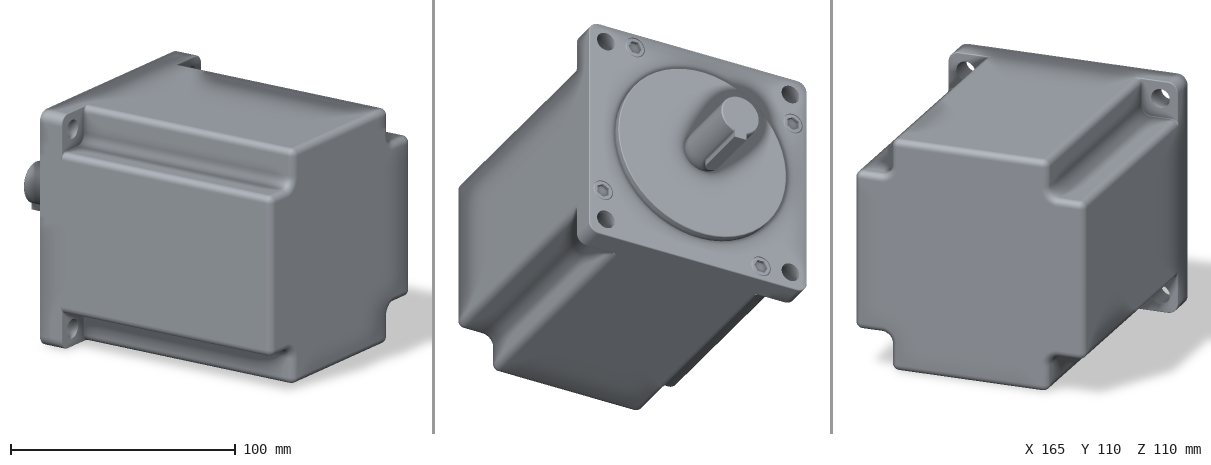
import cadquery as cq

total_length = 165.0
frame_width = 110.0
shaft_reach = 40.0
body_length = total_length - shaft_reach

flange_thickness = 12.0
flange_corner_radius = 5.0
flange_edge_radius = 0.5

notch_size = 17.5
notch_inner_radius = 5.0
body_edge_radius = 3.1
joint_radius = 0.5

pilot_diameter = 85.0
pilot_height = 4.1
pilot_edge_radius = 0.5
shaft_diameter = 19.1
shaft_chamfer = 0.5

key_width = 6.0
key_length = 30.0
key_top = 12.2

hole_pitch = 93.4
hole_diameter = 8.9
screw_offset_along_side = 31.8
screw_offset_to_side = 48.0
screw_head_diameter = 9.9
screw_gap = 0.5
socket_across_flats = 5.8
socket_turn = 30
socket_depth = 1.6

def disc(diameter, start_x, length):
    """Cylinder along +X centred on the motor axis."""
    return cq.Workplane("YZ", origin=(start_x, 0, 0)).circle(diameter / 2).extrude(length)


def make_flange():
    """Square plate with rounded corners and rounded face edges."""
    plate = cq.Workplane("YZ").rect(frame_width, frame_width).extrude(flange_thickness)
    plate = plate.edges("|X").fillet(flange_corner_radius)
    return plate.faces("<X or >X").edges().fillet(flange_edge_radius)


def is_arm_corner(edge):
    """True for an outer corner of the cross, which lies on a side of the square frame."""
    center = edge.Center()
    return max(abs(center.y), abs(center.z)) > frame_width / 2 - body_edge_radius


def is_notch_root(edge):
    """True for the inner corner of a notch."""
    return not is_arm_corner(edge)


def is_on_profile(edge):
    """True for an edge on the motor profile rather than on the surrounding block."""
    center = edge.Center()
    return max(abs(center.y), abs(center.z)) < frame_width


def make_profile(start_x, end_x):
    """Cross-shaped prism with rounded corners and notch roots."""
    arm_width = frame_width - 2 * notch_size
    plane = cq.Workplane("YZ", origin=(start_x, 0, 0))
    upright = plane.rect(arm_width, frame_width).extrude(end_x - start_x)
    cross = plane.rect(frame_width, arm_width).extrude(end_x - start_x).union(upright)
    cross = cross.edges("|X").filter(is_notch_root).fillet(notch_inner_radius)
    return cross.edges("|X").filter(is_arm_corner).fillet(body_edge_radius)


def make_body():
    """Notched body reaching into the flange as far as its front rounding."""
    return make_profile(flange_edge_radius, body_length).faces(">X").edges().fillet(body_edge_radius)


def make_notch_joint():
    """Small concave rounding where the notch walls meet the flange."""
    end_x = flange_thickness + 2 * joint_radius
    plane = cq.Workplane("YZ", origin=(flange_thickness, 0, 0))
    surround_width = 3 * frame_width
    surround = plane.rect(surround_width, surround_width).extrude(end_x - flange_thickness)
    surround = surround.cut(make_profile(flange_thickness, end_x))
    surround = surround.faces("<X").edges().filter(is_on_profile).fillet(joint_radius)
    block = plane.rect(frame_width, frame_width).extrude(end_x - flange_thickness)
    return block.cut(surround)


def make_housing():
    """Flange and body in one piece."""
    return make_flange().union(make_body()).union(make_notch_joint())


def make_pilot():
    """Locating disc in front of the flange, with a rounded rim."""
    return disc(pilot_diameter, -pilot_height, pilot_height).faces("<X").edges().fillet(pilot_edge_radius)


def make_shaft():
    """Output shaft with a chamfered tip."""
    return disc(shaft_diameter, -shaft_reach, shaft_reach).faces("<X").edges().chamfer(shaft_chamfer)


def make_key():
    """Key on the -Z side of the shaft."""
    half_width = key_width / 2
    arc_start_x = key_length - half_width
    return (
        cq.Workplane("XY", origin=(-shaft_reach, 0, -key_top))
        .moveTo(0, -half_width)
        .lineTo(arc_start_x, -half_width)
        .threePointArc((key_length, 0), (arc_start_x, half_width))
        .lineTo(0, half_width)
        .close()
        .extrude(key_top)
    )


def make_mounting_holes():
    """Through holes near the flange corners."""
    return (
        cq.Workplane("YZ")
        .rect(hole_pitch, hole_pitch, forConstruction=True)
        .vertices()
        .circle(hole_diameter / 2)
        .extrude(flange_thickness)
    )


def make_screw_recess():
    """Cut for one flush screw: hex socket plus the groove left by the chamfered head rim."""
    outer_radius = screw_head_diameter / 2
    center = (0, screw_offset_along_side, screw_offset_to_side)
    socket = (
        cq.Workplane("YZ", origin=center)
        .transformed(rotate=(0, 0, socket_turn))
        .polygon(6, socket_across_flats, circumscribed=True)
        .extrude(socket_depth)
    )
    rim = (
        cq.Workplane("XY")
        .moveTo(0, outer_radius - screw_gap)
        .lineTo(screw_gap, outer_radius)
        .lineTo(0, outer_radius)
        .close()
        .revolve(360, (0, 0, 0), (1, 0, 0))
        .translate(center)
    )
    return socket.union(rim)


result = make_housing()
result = result.cut(make_mounting_holes())
for quarter_turn in range(4):
    recess = make_screw_recess().rotate((0, 0, 0), (1, 0, 0), 90 * quarter_turn)
    result = result.cut(recess)
result = result.union(make_pilot()).union(make_shaft()).union(make_key())